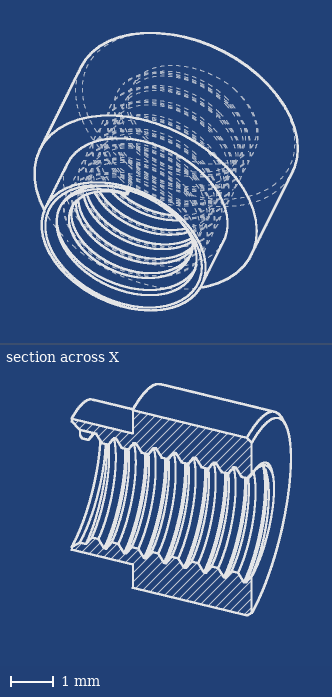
import cadquery as cq
import math

HEAD_RADIUS = 2.78
LENGTH = 4.52
HEAD_CHAMFER = 0.12
NECK_RADIUS = 2.05
NECK_LENGTH = 1.53

MAJOR_RADIUS = 1.75
MINOR_RADIUS = 1.5
PITCH = 0.5
FLANK_HALF_ANGLE = 30.0
CREST_WIDTH = PITCH / 3
LEAD_IN = 0.205
RIDGE_START = 0.11
ROOT_OVERLAP = 0.03
END_CLEARANCE = 0.165


def revolve_about_y(outline):
    return cq.Workplane("XY").polyline(outline).close().revolve(360, (0, 0), (0, 1))


def make_body():
    """Stepped solid body: narrow neck and chamfered head."""
    return revolve_about_y([
        (0, 0),
        (NECK_RADIUS, 0),
        (NECK_RADIUS, NECK_LENGTH),
        (HEAD_RADIUS, NECK_LENGTH),
        (HEAD_RADIUS, LENGTH - HEAD_CHAMFER),
        (HEAD_RADIUS - HEAD_CHAMFER, LENGTH),
        (0, LENGTH),
    ])


def make_ridge():
    """Left-hand helical ridge of the thread, starting at +Z."""
    flank_slope = math.tan(math.radians(FLANK_HALF_ANGLE))
    flank_width = (MAJOR_RADIUS - MINOR_RADIUS) * flank_slope
    overlap_width = ROOT_OVERLAP * flank_slope
    root_width = CREST_WIDTH + 2 * flank_width
    root_radius = MAJOR_RADIUS + ROOT_OVERLAP

    profile = (
        cq.Workplane("XZ")
        .moveTo(root_radius, -overlap_width)
        .lineTo(MINOR_RADIUS, flank_width)
        .lineTo(MINOR_RADIUS, flank_width + CREST_WIDTH)
        .lineTo(root_radius, root_width + overlap_width)
        .close()
    )
    helix = cq.Wire.makeHelix(PITCH, LENGTH, MAJOR_RADIUS, lefthand=True)
    return (
        profile.sweep(cq.Workplane(obj=helix), isFrenet=True)
        .rotate((0, 0, 0), (0, 0, 1), -90)
        .rotate((0, 0, 0), (1, 0, 0), -90)
        .translate((0, RIDGE_START, 0))
    )


def make_threaded_bore():
    """Space to remove: conical lead-in and through bore, less the thread ridge."""
    bore_space = revolve_about_y([
        (0, 0),
        (MAJOR_RADIUS + LEAD_IN, 0),
        (MAJOR_RADIUS, LEAD_IN),
        (MAJOR_RADIUS, LENGTH + END_CLEARANCE),
        (0, LENGTH + END_CLEARANCE),
    ])
    lead_in_space = cq.Workplane("XZ").circle(HEAD_RADIUS).extrude(-LEAD_IN)
    return bore_space.cut(make_ridge().cut(lead_in_space))


result = make_body().cut(make_threaded_bore())